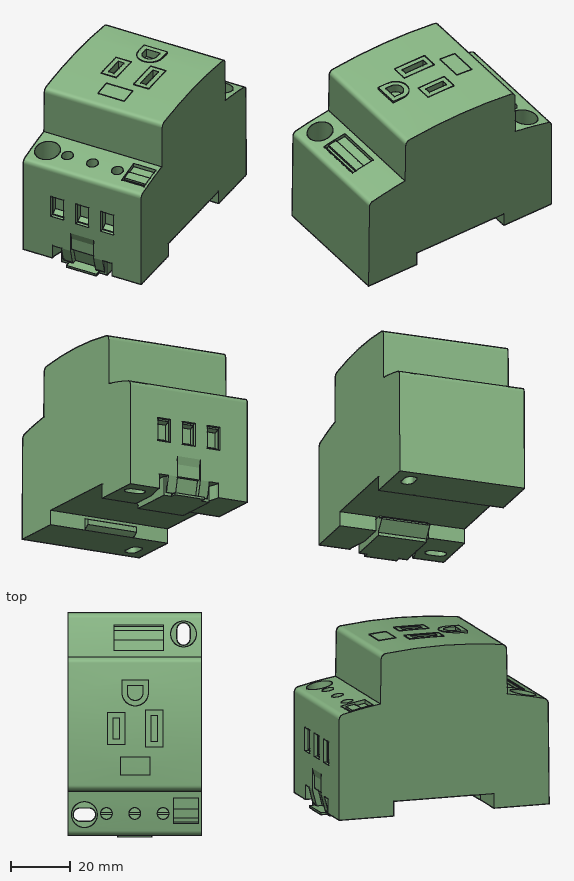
import cadquery as cq
import math


width = 45.0
front_y = -37.4
rear_foot_y = 37.6
rear_top_y = 37.2
shoulder_crest_z = 40.7
shoulder_radius = 154.7
crown_crest_z = 57.5
crown_radius = 169.8
crown_half_foot = 22.65
crown_half_top = 22.35
edge_radius = 1.9

rail_half = 17.8
rail_height = 5.05
hook_half_width = 9.35
hook_reach = 2.1
hook_tip_bottom_z = 1.4
hook_tip_top_z = 3.25
hook_root_z = 4.0
hook_heel = 1.1
hook_heel_z = 0.7

socket_x = 0.15
pad_top_z = 57.6
socket_rim = 1.8
socket_depth = 3
earth_y = 10.65
earth_radius = 2.65
earth_straight = 2.35
blade_spacing = 12.75
blade_y = -1.4
blade_width = 2.2
short_blade = 7.0
long_blade = 8.7
plate_y = -14.0
plate_width = 10.05
plate_length = 6.1
plate_rise = 0.15
plate_root = 0.75

mount_y = 30.35
front_mount_x = -16.9
rear_mount_x = 16.4
mount_bore = 8.7
mount_slot_length = 7.5
mount_slot_width = 4.4
mount_floor_z = 3

terminal_pitch = 9.5
screw_y = -30.0
screw_diameter = 3.9
screw_top_z = 31.7
screw_slot_width = 0.5
screw_slot_depth = 0.75
window_width = 4.9
window_inset = 0.15
window_bottom_z = 16.75
window_top_z = 24.75
window_recess = 1.2
window_depth = 3.1
window_sill_rise = 0.3
window_lintel_drop = 0.5
window_back_bottom_z = 18.1
window_back_top_z = 23.5

label_near = 24.8
label_ridge = 28.4
label_drop = 31.5
label_ledge = 32.8
label_far = 33.35
label_depth = 1.3
label_ridge_rise = 0.6
label_drop_depth = 1.35
label_ledge_depth = 0.45
front_label_x = (13.0, 21.4)
rear_label_x = (-7.0, 9.7)

notch_mouth_half = 11.3
notch_inner_half = 9.5
notch_straight = 1.3
notch_taper_length = 7.4
clip_half_width = 8.7
clip_front_y = -35.7
clip_foot_z = -1.6
clip_block_half = 7.85
clip_block_foot_y = -35.9
clip_block_foot_z = -0.5
clip_tab_top_z = -0.8
clip_hook_tip_y = -14.6
clip_hook_tip_z = 3.3
clip_hook_crest_z = 3.85
clip_hook_root_z = 4.4
clip_hook_heel_z = -0.45
clip_neck = 1.05
tab_half_width = 5.7
tab_tip_y = -37.9
channel_half_width = 4.4
channel_top_z = 12.2
channel_ceiling_end_z = 9.6
channel_wall_foot_z = 5.35
channel_wall_y = -36.6
channel_clip_top_y = -35.4
channel_clip_foot_y = -33.8


def arc_height(crest_z, radius, y):
    """Height at y of an arc whose crest is above y = 0."""
    return crest_z - radius + math.sqrt(radius**2 - y**2)


def shoulder_z(y):
    return arc_height(shoulder_crest_z, shoulder_radius, y)


def crown_z(y):
    return arc_height(crown_crest_z, crown_radius, y)


def prism(yz_points, x_min, x_max):
    """Polygon in the YZ plane, extruded from x_min to x_max."""
    return cq.Workplane("YZ", origin=(x_min, 0, 0)).polyline(yz_points).close().extrude(x_max - x_min)


def block(x_range, y_range, z_range):
    lows, highs = zip(x_range, y_range, z_range)
    sizes = [high - low for low, high in zip(lows, highs)]
    return cq.Workplane("XY").box(*sizes, centered=False).translate(lows)


def on_shoulder(y):
    return (y, shoulder_z(y))


def housing():
    front_shoulder_mid = (front_y - crown_half_foot) / 2
    rear_shoulder_mid = (rear_top_y + crown_half_foot) / 2
    crown_edge_z = crown_z(crown_half_top)
    body = (
        cq.Workplane("YZ", origin=(-width / 2, 0, 0))
        .moveTo(front_y, 0)
        .lineTo(*on_shoulder(front_y))
        .threePointArc(on_shoulder(front_shoulder_mid), on_shoulder(-crown_half_foot))
        .lineTo(-crown_half_top, crown_edge_z)
        .threePointArc((0, crown_crest_z), (crown_half_top, crown_edge_z))
        .lineTo(*on_shoulder(crown_half_foot))
        .threePointArc(on_shoulder(rear_shoulder_mid), on_shoulder(rear_top_y))
        .lineTo(rear_foot_y, 0)
        .lineTo(rail_half, 0)
        .lineTo(rail_half, rail_height)
        .lineTo(-rail_half, rail_height)
        .lineTo(-rail_half, 0)
        .close()
        .extrude(width)
    )
    rounded_corners = [
        on_shoulder(front_y),
        (-crown_half_top, crown_edge_z),
        (crown_half_top, crown_edge_z),
        on_shoulder(rear_top_y),
    ]
    for y, z in rounded_corners:
        body = body.edges(cq.NearestToPointSelector((0, y, z))).fillet(edge_radius)
    return body


def rear_hook():
    """Fixed nose on the rear leg that grips the rail."""
    tip_y = rail_half - hook_reach
    points = [
        (rail_half, 0),
        (rail_half - hook_heel, hook_heel_z),
        (tip_y, hook_tip_bottom_z),
        (tip_y, hook_tip_top_z),
        (rail_half, hook_root_z),
    ]
    return prism(points, -hook_half_width, hook_half_width)


def earth_outline(margin, z):
    """D shape: straight sides towards +Y and a round end towards -Y."""
    radius = earth_radius + margin
    top_y = earth_y + earth_straight + margin
    return (
        cq.Workplane("XY", origin=(socket_x, 0, z))
        .moveTo(-radius, top_y)
        .lineTo(-radius, earth_y)
        .threePointArc((0, earth_y - radius), (radius, earth_y))
        .lineTo(radius, top_y)
        .close()
    )


def blade_outline(side, length, margin, z):
    x = socket_x + side * blade_spacing / 2
    plane = cq.Workplane("XY", origin=(x, blade_y, z))
    return plane.rect(blade_width + 2 * margin, length + 2 * margin)


def add_socket(body):
    """Flat-topped pads around the three openings, then the openings themselves."""
    pad_base_z = crown_z(crown_half_top)
    floor_z = pad_top_z - socket_depth
    blades = [(-1, short_blade), (1, long_blade)]
    body = body.union(earth_outline(socket_rim, pad_base_z).extrude(pad_top_z - pad_base_z))
    for side, length in blades:
        pad = blade_outline(side, length, socket_rim, pad_base_z)
        body = body.union(pad.extrude(pad_top_z - pad_base_z))
    body = body.cut(earth_outline(0, floor_z).extrude(socket_depth))
    for side, length in blades:
        body = body.cut(blade_outline(side, length, 0, floor_z).extrude(socket_depth))
    return body


def indicator_plate():
    """Thin plate that follows the crown in front of the socket."""
    near_y = plate_y - plate_length / 2
    far_y = plate_y + plate_length / 2
    return (
        cq.Workplane("YZ", origin=(socket_x - plate_width / 2, 0, 0))
        .moveTo(near_y, crown_z(near_y) - plate_root)
        .lineTo(near_y, crown_z(near_y) + plate_rise)
        .threePointArc((plate_y, crown_z(plate_y) + plate_rise), (far_y, crown_z(far_y) + plate_rise))
        .lineTo(far_y, crown_z(far_y) - plate_root)
        .close()
        .extrude(plate_width)
    )


def mounting_hole(x, y, slot_angle):
    """Wide bore from above with a slot through its floor."""
    bore = (
        cq.Workplane("XY", origin=(x, y, mount_floor_z))
        .circle(mount_bore / 2)
        .extrude(shoulder_crest_z - mount_floor_z)
    )
    slot = (
        cq.Workplane("XY", origin=(x, y, 0))
        .slot2D(mount_slot_length, mount_slot_width, slot_angle)
        .extrude(mount_floor_z)
    )
    return bore.union(slot)


def screw_hole(x):
    """Access hole that ends on a slotted screw head."""
    hole = (
        cq.Workplane("XY", origin=(x, screw_y, screw_top_z))
        .circle(screw_diameter / 2)
        .extrude(shoulder_crest_z - screw_top_z)
    )
    slot = (
        cq.Workplane("XY", origin=(x, screw_y, screw_top_z - screw_slot_depth))
        .rect(screw_diameter, screw_slot_width)
        .extrude(screw_slot_depth)
    )
    head = (
        cq.Workplane("XY", origin=(x, screw_y, screw_top_z - screw_slot_depth))
        .circle(screw_diameter / 2)
        .extrude(screw_slot_depth)
    )
    return hole.union(slot.intersect(head))


def wire_window(x):
    """Shallow recess with a narrower opening behind it whose sill and lintel slope together."""
    half = window_width / 2
    recess_y = front_y + window_recess
    back_y = front_y + window_depth
    recess = block((x - half, x + half), (front_y, recess_y), (window_bottom_z, window_top_z))
    funnel_points = [
        (recess_y, window_bottom_z + window_sill_rise),
        (back_y, window_back_bottom_z),
        (back_y, window_back_top_z),
        (recess_y, window_top_z - window_lintel_drop),
    ]
    funnel_half = half - window_inset
    return recess.union(prism(funnel_points, x - funnel_half, x + funnel_half))


def label_recess(side, x_range):
    """Stepped recess below the shoulder; side is -1 in front and +1 at the rear."""
    steps = [
        (label_near, label_depth),
        (label_ridge, label_depth),
        (label_ridge, label_depth - label_ridge_rise),
        (label_drop, label_depth - label_ridge_rise),
        (label_drop, label_drop_depth),
        (label_ledge, label_drop_depth),
        (label_ledge, label_ledge_depth),
        (label_far, label_ledge_depth),
    ]
    floor = [(side * distance, shoulder_z(distance) - depth) for distance, depth in steps]
    mouth = [(side * label_far, shoulder_crest_z), (side * label_near, shoulder_crest_z)]
    return prism(floor + mouth, *x_range)


def clip_notch():
    """Opening in the front leg, tapering inwards from the front face to the rail slot."""
    taper_start_y = front_y + notch_straight
    taper_end_y = taper_start_y + notch_taper_length
    half_outline = [
        (notch_mouth_half, front_y),
        (notch_mouth_half, taper_start_y),
        (notch_inner_half, taper_end_y),
        (notch_inner_half, -rail_half),
    ]
    mirrored = [(-x, y) for x, y in reversed(half_outline)]
    return cq.Workplane("XY").polyline(half_outline + mirrored).close().extrude(rail_height)


def clip():
    """Sliding rail clip: body with rail hook, leaning front block and pull tab."""
    neck_y = -rail_half + clip_neck
    body_points = [
        (clip_front_y, clip_foot_z),
        (-rail_half, clip_foot_z),
        (-rail_half, clip_hook_heel_z),
        (clip_hook_tip_y, clip_hook_tip_z),
        (clip_hook_tip_y, clip_hook_crest_z),
        (neck_y, clip_hook_root_z),
        (neck_y, rail_height),
        (clip_front_y, rail_height),
    ]
    block_points = [
        (front_y, rail_height),
        (clip_block_foot_y, clip_block_foot_z),
        (clip_front_y, clip_block_foot_z),
        (clip_front_y, rail_height),
    ]
    tab = block(
        (-tab_half_width, tab_half_width),
        (tab_tip_y, clip_front_y),
        (clip_foot_z, clip_tab_top_z),
    )
    body = prism(body_points, -clip_half_width, clip_half_width)
    front_block = prism(block_points, -clip_block_half, clip_block_half)
    return body.union(front_block).union(tab)


def release_channel():
    """Screwdriver channel down the front face and into the clip, open above the tab."""
    points = [
        (front_y, channel_top_z),
        (channel_wall_y, channel_ceiling_end_z),
        (channel_wall_y, channel_wall_foot_z),
        (channel_clip_top_y, channel_wall_foot_z),
        (channel_clip_foot_y, clip_tab_top_z),
        (front_y, clip_tab_top_z),
    ]
    return prism(points, -channel_half_width, channel_half_width)


result = housing()
result = add_socket(result).union(indicator_plate())
result = result.cut(mounting_hole(front_mount_x, -mount_y, 0))
result = result.cut(mounting_hole(rear_mount_x, mount_y, 90))
for column in (-1, 0, 1):
    terminal_x = column * terminal_pitch
    result = result.cut(screw_hole(terminal_x)).cut(wire_window(terminal_x))
result = result.cut(label_recess(-1, front_label_x)).cut(label_recess(1, rear_label_x))
result = result.union(rear_hook())
result = result.cut(clip_notch()).union(clip()).cut(release_channel())